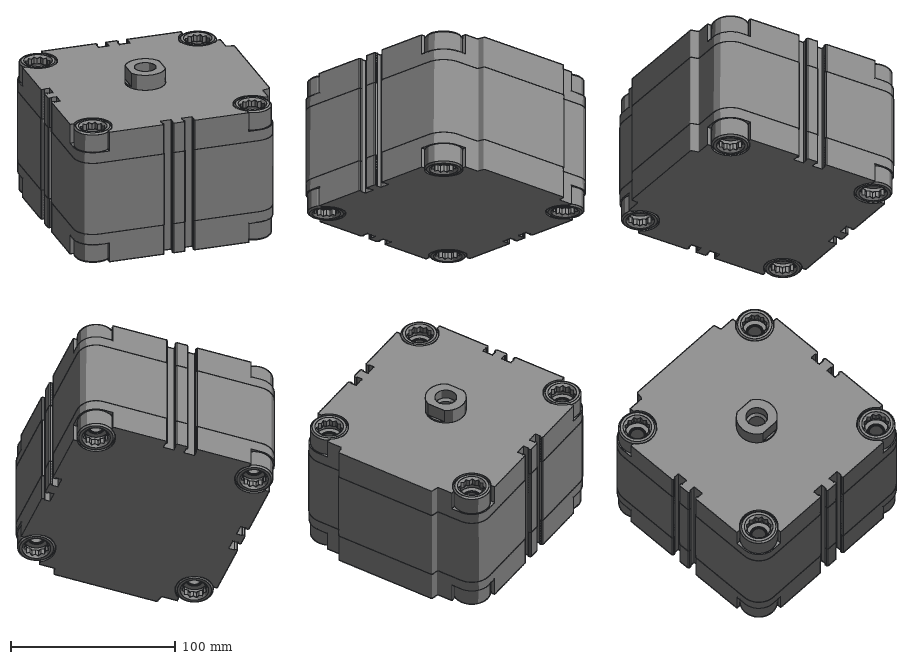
import cadquery as cq
import math

BLOCK_WIDTH = 128.0
HALF_WIDTH = BLOCK_WIDTH / 2
END_HEIGHT = 19.5
MIDDLE_HEIGHT = 47.5
BLOCK_HEIGHT = MIDDLE_HEIGHT + 2 * END_HEIGHT
END_INSET = 0.1
CORNER_RADIUS = 12.5
SCREW_OFFSET = HALF_WIDTH - CORNER_RADIUS

PAD_HEIGHT = 5.0
PAD_BASE_HALF_WIDTH = 34.8
PAD_TOP_HALF_WIDTH = 33.8
PAD_FILLET = 1.0

LIP_INNER_EDGE = 4.1
LIP_OUTER_EDGE = 9.3
LIP_DEPTH = 2.1
LIP_CHAMFER = 0.7
UNDERCUT_INNER_EDGE = 3.3
UNDERCUT_OUTER_EDGE = 10.1
GROOVE_DEPTH = 5.7

RECESS_DEPTH = 12.5
RECESS_SIDE = 19.0
RECESS_DIAMETER = 23.7
HEAD_DIAMETER = 23.0
HEAD_CHAMFER = 1.0
SOCKET_DEPTH = 5.6
SOCKET_CORNER_DIAMETER = 15.4
SOCKET_MOUTH_DIAMETER = 17.4
SEAT_DIAMETER = 16.5
SEAT_DEPTH = 8.5
SCREW_BORE_DIAMETER = 8.2
BORE_LEDGE_DIAMETER = 9.6
BORE_MOUTH_DIAMETER = 10.5

ROD_DIAMETER = 25.0
ROD_PROJECTION = 10.0
ROD_SEAT_DEPTH = END_HEIGHT
ROD_TOP = BLOCK_HEIGHT + ROD_PROJECTION
FLATS_WIDTH = 22.0
FLATS_START = 1.0
ROD_COUNTERBORE_DIAMETER = 13.2
ROD_COUNTERBORE_DEPTH = 6.3
ROD_HOLE_DIAMETER = 10.1
ROD_HOLE_DEPTH = 20.0
DRILL_TIP_ANGLE = 118.0


def fillet_vertical_edges(solid, points, radius):
    """Round the vertical edges that stand at the given (x, y) points."""
    reach = 0.3
    for x, y in points:
        low = (x - reach, y - reach, -reach)
        high = (x + reach, y + reach, BLOCK_HEIGHT)
        solid = solid.edges("|Z").edges(cq.selectors.BoxSelector(low, high)).fillet(radius)
    return solid


def mirrored(points):
    return [(-x, y) for x, y in reversed(points)]


def plain_section(height, inset):
    """Rounded square block with the filleted pad on its +Y side, inset from the full outline."""
    side = HALF_WIDTH - inset
    pad_base = (PAD_BASE_HALF_WIDTH - inset, side)
    pad_top = (PAD_TOP_HALF_WIDTH - inset, side + PAD_HEIGHT)
    corners = [(side, -side), (side, side)]
    pad_points = [pad_base, pad_top]
    right_half = corners + pad_points
    solid = cq.Workplane("XY").polyline(right_half + mirrored(right_half)).close().extrude(height)
    solid = fillet_vertical_edges(solid, pad_points + mirrored(pad_points), PAD_FILLET)
    return fillet_vertical_edges(solid, corners + mirrored(corners), CORNER_RADIUS - inset)


def on_grooved_sides(profile, height):
    """Cutter from a groove profile on the -Y side, mirrored into a pair and set on three sides."""
    half = cq.Workplane("XY").polyline(profile).close().extrude(height)
    pair = half.union(half.mirror("YZ"))
    cutter = pair
    for angle in (-90, 90):
        cutter = cutter.union(pair.rotate((0, 0, 0), (0, 0, 1), angle))
    return cutter


def groove_openings(height, inset):
    """Slots between the chamfered lips of the grooves."""
    face = -HALF_WIDTH + inset
    lip_bottom = -HALF_WIDTH + LIP_DEPTH
    inner = LIP_INNER_EDGE - inset
    outer = LIP_OUTER_EDGE + inset
    profile = [
        (inner - LIP_CHAMFER, face),
        (inner, face + LIP_CHAMFER),
        (inner, lip_bottom),
        (outer, lip_bottom),
        (outer, face + LIP_CHAMFER),
        (outer + LIP_CHAMFER, face),
    ]
    return on_grooved_sides(profile, height)


def groove_undercuts():
    """Wide inner parts of the grooves, running the full height of the housing."""
    lip_bottom = -HALF_WIDTH + LIP_DEPTH
    floor = -HALF_WIDTH + GROOVE_DEPTH
    profile = [
        (UNDERCUT_INNER_EDGE, lip_bottom),
        (UNDERCUT_INNER_EDGE, floor),
        (UNDERCUT_OUTER_EDGE, floor),
        (UNDERCUT_OUTER_EDGE, lip_bottom),
    ]
    return on_grooved_sides(profile, BLOCK_HEIGHT)


def section(height, inset, base):
    """One height section of the housing with its groove openings, standing on z = base."""
    solid = plain_section(height, inset).cut(groove_openings(height, inset))
    return solid.translate((0, 0, base))


def cone(large_diameter, small_diameter, top):
    """45 degree countersink cutter narrowing downwards from the height top."""
    depth = (large_diameter - small_diameter) / 2
    return (
        cq.Workplane("XY", origin=(0, 0, top - depth))
        .circle(small_diameter / 2)
        .workplane(offset=depth)
        .circle(large_diameter / 2)
        .loft()
    )


def screw_head():
    """Chamfered head, foot at z = 0, with a twelve-point socket above a wider round seat."""
    socket_floor = RECESS_DEPTH - SOCKET_DEPTH
    flat_to_flat = SOCKET_CORNER_DIAMETER * math.cos(math.pi / 6)
    head = cq.Workplane("XY").circle(HEAD_DIAMETER / 2).extrude(RECESS_DEPTH)
    head = head.faces(">Z").edges().chamfer(HEAD_CHAMFER)
    for angle in (0, 30):
        hexagon = (
            cq.Workplane("XY", origin=(0, 0, socket_floor))
            .polygon(6, SOCKET_CORNER_DIAMETER)
            .extrude(SOCKET_DEPTH)
            .rotate((0, 0, 0), (0, 0, 1), angle)
        )
        head = head.cut(hexagon)
    head = head.cut(cone(SOCKET_MOUTH_DIAMETER, flat_to_flat, RECESS_DEPTH))
    seat_floor = RECESS_DEPTH - SEAT_DEPTH
    seat = cq.Workplane("XY", origin=(0, 0, seat_floor)).circle(SEAT_DIAMETER / 2)
    head = head.cut(seat.extrude(SEAT_DEPTH - SOCKET_DEPTH))
    bore_mouth = cone(BORE_MOUTH_DIAMETER, BORE_LEDGE_DIAMETER, seat_floor)
    return head.cut(bore_mouth)


def corner_recess():
    """Recess cutter for the corner at +X +Y: a square open to the sides and a round around the head."""
    center = HALF_WIDTH - RECESS_SIDE / 2
    square = cq.Workplane("XY").center(center, center).rect(RECESS_SIDE, RECESS_SIDE).extrude(RECESS_DEPTH)
    round_part = (
        cq.Workplane("XY")
        .center(SCREW_OFFSET, SCREW_OFFSET)
        .circle(RECESS_DIAMETER / 2)
        .extrude(RECESS_DEPTH)
    )
    return square.union(round_part)


def at_all_corners(top_part):
    """Eight copies of a part made for the +X +Y corner, at both ends of the housing."""
    raised = top_part.translate((0, 0, BLOCK_HEIGHT - RECESS_DEPTH))
    lowered = top_part.mirror("XY").translate((0, 0, RECESS_DEPTH))
    copies = []
    for part in (raised, lowered):
        for angle in (0, 90, 180, 270):
            copies.append(part.rotate((0, 0, 0), (0, 0, 1), angle))
    return copies


def make_housing():
    """Housing block with its sensor grooves, corner screw heads and seat for the rod."""
    housing = section(END_HEIGHT, END_INSET, 0)
    housing = housing.union(section(MIDDLE_HEIGHT, 0, END_HEIGHT))
    housing = housing.union(section(END_HEIGHT, END_INSET, END_HEIGHT + MIDDLE_HEIGHT))
    housing = housing.cut(groove_undercuts())
    for recess in at_all_corners(corner_recess()):
        housing = housing.cut(recess)
    for head in at_all_corners(screw_head().translate((SCREW_OFFSET, SCREW_OFFSET, 0))):
        housing = housing.union(head)
    screw_bores = (
        cq.Workplane("XY")
        .rect(2 * SCREW_OFFSET, 2 * SCREW_OFFSET, forConstruction=True)
        .vertices()
        .circle(SCREW_BORE_DIAMETER / 2)
        .extrude(BLOCK_HEIGHT)
    )
    rod_seat = (
        cq.Workplane("XY", origin=(0, 0, BLOCK_HEIGHT - ROD_SEAT_DEPTH))
        .circle(ROD_DIAMETER / 2)
        .extrude(ROD_SEAT_DEPTH)
    )
    return housing.cut(screw_bores).cut(rod_seat)


def rod_hole():
    """Cutter for the counterbored blind hole entering the top of the rod."""
    bore_radius = ROD_COUNTERBORE_DIAMETER / 2
    hole_radius = ROD_HOLE_DIAMETER / 2
    step = bore_radius - hole_radius
    tip = hole_radius / math.tan(math.radians(DRILL_TIP_ANGLE / 2))
    profile = [
        (0, 0),
        (bore_radius, 0),
        (bore_radius, -ROD_COUNTERBORE_DEPTH),
        (hole_radius, -ROD_COUNTERBORE_DEPTH - step),
        (hole_radius, -ROD_HOLE_DEPTH),
        (0, -ROD_HOLE_DEPTH - tip),
    ]
    cutter = cq.Workplane("XZ").polyline(profile).close().revolve(360, (0, 0, 0), (0, 1, 0))
    return cutter.translate((0, 0, ROD_TOP))


def make_rod():
    """Rod with two wrench flats above the housing and a blind hole in its top."""
    rod = (
        cq.Workplane("XY", origin=(0, 0, BLOCK_HEIGHT - ROD_SEAT_DEPTH))
        .circle(ROD_DIAMETER / 2)
        .extrude(ROD_SEAT_DEPTH + ROD_PROJECTION)
    )
    beside_flats = (
        cq.Workplane("XY", origin=(0, 0, BLOCK_HEIGHT + FLATS_START))
        .rect(2 * ROD_DIAMETER, 2 * ROD_DIAMETER)
        .rect(ROD_DIAMETER, FLATS_WIDTH)
        .extrude(ROD_PROJECTION - FLATS_START)
    )
    return rod.cut(beside_flats).cut(rod_hole())


housing = make_housing()
rod = make_rod()

result = cq.Compound.makeCompound([housing.val(), rod.val()])